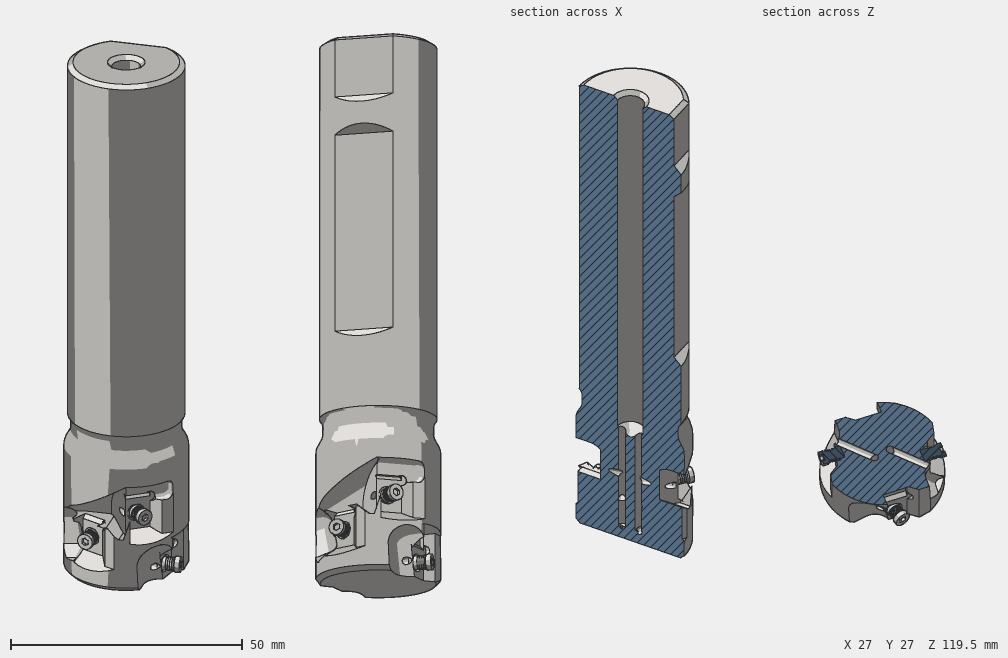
import cadquery as cq
import math

HEAD_RADIUS = 13.49
SHANK_RADIUS = 12.7
NECK_RADIUS = 12.0
TOTAL_LENGTH = 119.45
SHANK_BOTTOM = 36.5
NECK_TOP = 35.5
NECK_BOTTOM = 32.3
HEAD_TOP = 29.5
NECK_FILLET = 2.0
NOSE_CHAMFER = 1.0
TOP_CHAMFER_RADIAL = 1.2
TOP_CHAMFER_HEIGHT = 0.8

FLAT_Y = 10.9
UPPER_FLAT_BOTTOM = 106.0
LOWER_FLAT_BOTTOM = 54.0
LOWER_FLAT_TOP = 97.5

BORE_RADIUS = 3.1
BORE_MOUTH_RADIUS = 4.05
BORE_BOTTOM = 30.0
BORE_TIP_HALF_ANGLE = 59.0
CHANNEL_RADIUS = 0.8
CHANNEL_OFFSET = 2.0
CHANNEL_OVERSHOOT = 1.15
CHANNEL_MOUTH = 8.4

FLUTES = 2
ROW_PITCH = 7.0
FIRST_ROW_Z = 3.3
SEAT_DISTANCE = 10.0
SEAT_FRONT = -3.7
SEAT_BACK = 1.9
SEAT_RISE = 3.45
SEAT_DROP = 3.8
CREST_HEIGHT = 0.9
CREST_DEPTH = 0.8
WALL_END = 4.0
SHELF_DISTANCE = 11.75
SHELF_BACK = 7.5
RAMP_SLOPE = 0.7
ROOF_SLOPE = 0.3
CORNER_RELIEF_RADIUS = 1.1
OUTSIDE = 16.0

GULLET_TILT = 11.0
GULLET_OUTER_END = -10.4
GULLET_LEAN = 13.0
GULLET_CORNER_RADIUS = 3.7
GULLET_RAMP = 2.4

FLUTE_START = (-12.4, 15.9)
FLUTE_END = (3.5, 24.8)
FLUTE_TOP_X = 7.0
FLUTE_DROP = 4.95
FLUTE_BOTTOM_X = 2.0
FLUTE_BOTTOM_WIDTH = 1.0
FLUTE_LEDGE_X = -0.9
FLUTE_FLOOR_Y = -5.5
FLUTE_FILLET = 4.5
FLUTE_WALL_TILT = 8.0

RUNOUT_BOTTOM = 20.2
RUNOUT_BACK = 6.5
RUNOUT_DISTANCE = 10.2
RUNOUT_CORNER_RADIUS = 1.5
RUNOUT_FLOOR_RADIUS = 1.0

SCREW_TILT = 15.0
SCREW_OFFSET = -1.2
SCREW_HEAD_RADIUS = 1.75
SCREW_HEAD_LENGTH = 1.1
SCREW_CONE_LENGTH = 0.3
SCREW_SHANK_RADIUS = 1.5
SCREW_REACH = 3.4
SCREW_DEPTH = 1.5
THREAD_PITCH = 0.9
THREAD_GROOVE = 0.25
SOCKET_ACROSS = 1.7
SOCKET_DEPTH = 0.7
HEAD_ROOM_RADIUS = 1.9
TAP_MOUTH_DEPTH = 0.5

LOWER = {
    "angle": 169.0,
    "z": FIRST_ROW_Z,
    "top": 6.9,
    "gullet": (-5.0, 11.0),
    "floor": 8.1,
}
MIDDLE = {
    "angle": 245.0,
    "z": FIRST_ROW_Z + ROW_PITCH,
    "top": 3.6,
    "gullet": (4.8, 16.6),
    "floor": 9.2,
}
UPPER = {
    "angle": 305.0,
    "z": FIRST_ROW_Z + 2 * ROW_PITCH,
    "top": 3.6,
    "gullet": None,
}
ROWS = [LOWER, MIDDLE, UPPER]


def place(shape, angle):
    """Turn a shape from the seat frame to the seat's angle on the tool."""
    return shape.rotate((0, 0, 0), (0, 0, 1), angle)


def turned_blank():
    outline = [
        (0, 0),
        (HEAD_RADIUS - NOSE_CHAMFER, 0),
        (HEAD_RADIUS, NOSE_CHAMFER),
        (HEAD_RADIUS, HEAD_TOP),
        (NECK_RADIUS, NECK_BOTTOM),
        (NECK_RADIUS, NECK_TOP),
        (SHANK_RADIUS, SHANK_BOTTOM),
        (SHANK_RADIUS, TOTAL_LENGTH - TOP_CHAMFER_HEIGHT),
        (SHANK_RADIUS - TOP_CHAMFER_RADIAL, TOTAL_LENGTH),
        (0, TOTAL_LENGTH),
    ]
    blank = cq.Workplane("XZ").polyline(outline).close().revolve(360, (0, 0), (0, 1))
    margin = 0.3
    around_neck = cq.selectors.BoxSelector(
        (-OUTSIDE, -OUTSIDE, HEAD_TOP - margin),
        (OUTSIDE, OUTSIDE, NECK_TOP + margin),
    )
    return blank.edges("%CIRCLE").edges(around_neck).fillet(NECK_FILLET)


def flat_cutter(z_bottom, z_top, closed_top):
    depth = OUTSIDE - FLAT_Y
    top_run = depth if closed_top else 0
    outline = [
        (FLAT_Y, z_bottom),
        (OUTSIDE, z_bottom - depth),
        (OUTSIDE, z_top + top_run),
        (FLAT_Y, z_top),
    ]
    return cq.Workplane("YZ").polyline(outline).close().extrude(OUTSIDE, both=True)


def flat_top_cutter():
    """Chamfer where the upper flat meets the top face, as wide as the chamfer round the shank."""
    outline = [
        (FLAT_Y, TOTAL_LENGTH - TOP_CHAMFER_HEIGHT),
        (OUTSIDE, TOTAL_LENGTH - TOP_CHAMFER_HEIGHT),
        (OUTSIDE, TOTAL_LENGTH),
        (FLAT_Y - TOP_CHAMFER_RADIAL, TOTAL_LENGTH),
    ]
    return cq.Workplane("YZ").polyline(outline).close().extrude(OUTSIDE, both=True)


def bore_cutter():
    tip = BORE_RADIUS / math.tan(math.radians(BORE_TIP_HALF_ANGLE))
    mouth = BORE_MOUTH_RADIUS - BORE_RADIUS
    outline = [
        (0, BORE_BOTTOM - tip),
        (BORE_RADIUS, BORE_BOTTOM),
        (BORE_RADIUS, TOTAL_LENGTH - mouth),
        (BORE_MOUTH_RADIUS, TOTAL_LENGTH),
        (0, TOTAL_LENGTH),
    ]
    return cq.Workplane("XZ").polyline(outline).close().revolve(360, (0, 0), (0, 1))


def pocket_cutter(row):
    """Seat, sloped backing wall and shelf, closed below and above by outward ramps."""
    low = row["z"] - SEAT_DROP
    high = row["z"] + row["top"]
    ramp_drop = (OUTSIDE - SEAT_DISTANCE) * RAMP_SLOPE
    roof_rise = (OUTSIDE - SEAT_DISTANCE) * ROOF_SLOPE
    plan = [
        (SEAT_DISTANCE, SEAT_FRONT),
        (SEAT_DISTANCE, SEAT_BACK),
        (SHELF_DISTANCE, WALL_END),
        (SHELF_DISTANCE, SHELF_BACK),
        (OUTSIDE, SHELF_BACK),
        (OUTSIDE, SEAT_FRONT),
    ]
    side = [
        (SEAT_DISTANCE, low),
        (OUTSIDE, low - ramp_drop),
        (OUTSIDE, high + roof_rise),
        (SEAT_DISTANCE, high),
    ]
    column = cq.Workplane("XY").workplane(offset=low - ramp_drop).polyline(plan).close()
    column = column.extrude(high - low + ramp_drop + roof_rise)
    ramps = cq.Workplane("XZ").polyline(side).close().extrude(OUTSIDE, both=True)
    relief = (
        cq.Workplane("YZ", origin=(SEAT_DISTANCE, SEAT_BACK, row["z"] + SEAT_RISE))
        .circle(CORNER_RELIEF_RADIUS)
        .extrude(OUTSIDE - SEAT_DISTANCE)
    )
    return column.intersect(ramps).union(relief)


def crest_cutter(row):
    """Clears the metal above a seat, starting with a bevel that falls away from the seat."""
    seat_top = row["z"] + SEAT_RISE
    crest_top = seat_top + CREST_HEIGHT
    high = max(row["z"] + row["top"], crest_top)
    floor = SEAT_DISTANCE - CREST_DEPTH
    side = [
        (SEAT_DISTANCE, seat_top),
        (OUTSIDE, seat_top),
        (OUTSIDE, high),
        (floor, high),
    ]
    if high > crest_top:
        side.append((floor, crest_top))
    prism = cq.Workplane("XZ").polyline(side).close().extrude(SEAT_FRONT - SEAT_BACK)
    return prism.translate((0, SEAT_FRONT, 0))


def gullet_cutter(row):
    """Chip gullet ahead of the seat, with a rounded inner corner and a rounded upper end."""
    bottom, top = row["gullet"]
    length = SEAT_FRONT - GULLET_OUTER_END
    reach = length + OUTSIDE
    cutter = (
        cq.Workplane("XY")
        .box(OUTSIDE, reach, top - bottom, centered=False)
        .edges("(>Y and <X) or (>Z and <X) or (>Y and >Z)")
        .fillet(GULLET_CORNER_RADIUS)
        .edges("<Z and <X")
        .chamfer(GULLET_RAMP)
    )
    floor_at_seat = row["floor"] - length * math.tan(math.radians(GULLET_TILT))
    return (
        cutter.translate((0, -reach, bottom))
        .rotate((0, 0, 0), (0, 0, 1), GULLET_TILT)
        .translate((floor_at_seat, 0, -row["z"]))
        .rotate((0, 0, 0), (1, 0, 0), GULLET_LEAN)
        .translate((0, SEAT_FRONT, row["z"]))
    )


def runout_cutter():
    """Rounded recess above the upper pocket, where the slanted flute ends."""
    height = FLUTE_END[1] - RUNOUT_BOTTOM
    recess = (
        cq.Workplane("XY")
        .box(OUTSIDE, RUNOUT_BACK - SEAT_FRONT, height, centered=False)
        .edges("|X and >Y")
        .fillet(RUNOUT_CORNER_RADIUS)
        .faces("<X")
        .edges("not(<Y)")
        .fillet(RUNOUT_FLOOR_RADIUS)
    )
    return recess.translate((RUNOUT_DISTANCE, SEAT_FRONT, RUNOUT_BOTTOM))


def slanted_flute_cutter():
    """Flute rising from the middle gullet to the upper pocket, for the -Y side of the tool."""
    low_edge = MIDDLE["z"] + SEAT_RISE + CREST_HEIGHT
    flute_bottom = UPPER["z"] - FLUTE_DROP
    outline = [
        FLUTE_START,
        FLUTE_END,
        (FLUTE_TOP_X, FLUTE_END[1]),
        (FLUTE_BOTTOM_X + FLUTE_BOTTOM_WIDTH, flute_bottom),
        (FLUTE_BOTTOM_X, flute_bottom),
        (FLUTE_LEDGE_X, low_edge),
        (FLUTE_START[0], low_edge),
    ]
    flute = (
        cq.Workplane("XZ", origin=(0, FLUTE_FLOOR_Y, 0)).polyline(outline).close().extrude(OUTSIDE)
    )
    upper_edge_middle = (
        (FLUTE_START[0] + FLUTE_END[0]) / 2,
        FLUTE_FLOOR_Y,
        (FLUTE_START[1] + FLUTE_END[1]) / 2,
    )
    flute = flute.edges(cq.selectors.NearestToPointSelector(upper_edge_middle)).fillet(FLUTE_FILLET)
    seat_side = (
        cq.Workplane("XY")
        .box(4 * OUTSIDE, 2 * OUTSIDE, TOTAL_LENGTH)
        .translate((0, OUTSIDE, 0))
        .rotate((0, 0, 0), (0, 0, 1), FLUTE_WALL_TILT)
        .translate((SEAT_DISTANCE, SEAT_FRONT, 0))
    )
    return flute.cut(place(seat_side, UPPER["angle"]))


def channel_between(start, end):
    along = cq.Vector(*end) - cq.Vector(*start)
    return cq.Workplane(
        cq.Solid.makeCylinder(CHANNEL_RADIUS, along.Length, cq.Vector(*start), along)
    )


def coolant_cutter(row):
    """Level channel from the gullet wall ahead of a seat to the nearer feed channel."""
    angle = math.radians(row["angle"])
    x = CHANNEL_MOUTH * math.cos(angle) - SEAT_FRONT * math.sin(angle)
    y = CHANNEL_MOUTH * math.sin(angle) + SEAT_FRONT * math.cos(angle)
    side = math.copysign(CHANNEL_OFFSET, y)
    end = (x * CHANNEL_OVERSHOOT, side + (y - side) * CHANNEL_OVERSHOOT, row["z"])
    return channel_between((0, side, row["z"]), end)


def feed_cutter():
    return channel_between((0, CHANNEL_OFFSET, FIRST_ROW_Z), (0, CHANNEL_OFFSET, BORE_BOTTOM))


def place_screw_shape(shape, row, turn):
    """Move a shape built up the Z axis, seat level at zero, onto the screw axis of a seat."""
    upright = shape.rotate((0, 0, 0), (0, 1, 0), 90).rotate((0, 0, 0), (0, 0, 1), SCREW_TILT)
    seated = upright.translate((SEAT_DISTANCE, SCREW_OFFSET, row["z"]))
    return place(seated, row["angle"] + turn)


def screw_blank():
    head_bottom = SCREW_REACH - SCREW_HEAD_LENGTH
    outline = [
        (0, -SCREW_DEPTH),
        (SCREW_SHANK_RADIUS, -SCREW_DEPTH),
        (SCREW_SHANK_RADIUS, head_bottom - SCREW_CONE_LENGTH),
        (SCREW_HEAD_RADIUS, head_bottom),
        (SCREW_HEAD_RADIUS, SCREW_REACH),
        (0, SCREW_REACH),
    ]
    return cq.Workplane("XZ").polyline(outline).close().revolve(360, (0, 0), (0, 1))


def screw_shape():
    screw = screw_blank()
    for level in (THREAD_PITCH / 3, 4 * THREAD_PITCH / 3):
        groove = (
            cq.Workplane("XY", origin=(0, 0, level))
            .circle(2 * SCREW_SHANK_RADIUS)
            .circle(SCREW_SHANK_RADIUS - THREAD_GROOVE)
            .extrude(THREAD_PITCH / 2)
        )
        screw = screw.cut(groove)
    socket = (
        cq.Workplane("XY", origin=(0, 0, SCREW_REACH - SOCKET_DEPTH))
        .polygon(6, SOCKET_ACROSS)
        .extrude(SOCKET_DEPTH)
    )
    return screw.cut(socket)


def screw_hole():
    """Hole filled by the screw, with a wider mouth and room for the head in the backing wall."""
    shank = (
        cq.Workplane("XY", origin=(0, 0, -SCREW_DEPTH))
        .circle(SCREW_SHANK_RADIUS)
        .extrude(SCREW_DEPTH)
    )
    room = (
        cq.Workplane("XY", origin=(0, 0, -TAP_MOUTH_DEPTH))
        .circle(HEAD_ROOM_RADIUS)
        .extrude(2 * SCREW_REACH)
    )
    return shank.union(room)


body = turned_blank()
body = body.cut(flat_cutter(UPPER_FLAT_BOTTOM, TOTAL_LENGTH, False))
body = body.cut(flat_cutter(LOWER_FLAT_BOTTOM, LOWER_FLAT_TOP, True))
body = body.cut(flat_top_cutter())
body = body.cut(bore_cutter())

screws = []
for flute in range(FLUTES):
    turn = flute * 360 / FLUTES
    cutters = [slanted_flute_cutter(), place(runout_cutter(), UPPER["angle"]), feed_cutter()]
    for row in ROWS:
        cutters.append(place(pocket_cutter(row), row["angle"]))
        cutters.append(place(crest_cutter(row), row["angle"]))
        cutters.append(coolant_cutter(row))
        if row["gullet"]:
            cutters.append(place(gullet_cutter(row), row["angle"]))
    for cutter in cutters:
        body = body.cut(cutter.rotate((0, 0, 0), (0, 0, 1), turn))
    for row in ROWS:
        body = body.cut(place_screw_shape(screw_hole(), row, turn))
        screws.append(place_screw_shape(screw_shape(), row, turn))

result = cq.Compound.makeCompound([body.val(), *[screw.val() for screw in screws]])